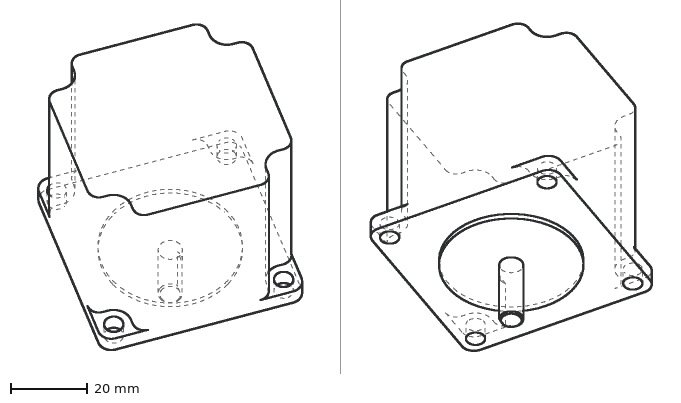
import cadquery as cq

width = 56.4
total_height = 74.6

flange_thickness = 4.85
flange_corner_radius = 3.6
hole_spacing = 47.15
hole_diameter = 5.1

relief_size = 9.4
relief_inner_radius = 4.85
relief_edge_radius = 3.1

pilot_diameter = 38.05
pilot_height = 1.6
shaft_diameter = 6.35
shaft_length = 20.6
shaft_chamfer = 0.45
flat_length = 15.0
flat_depth = 0.5

body_top = total_height - shaft_length
body_height = body_top - flange_thickness


def make_flange():
    """Square plate with rounded corners and four through holes."""
    plate = cq.Workplane("XY").rect(width, width).extrude(flange_thickness)
    plate = plate.edges("|Z").fillet(flange_corner_radius)
    return (
        plate.faces(">Z").workplane()
        .rect(hole_spacing, hole_spacing, forConstruction=True)
        .vertices().hole(hole_diameter)
    )


def make_body():
    """Cross-shaped block whose inner and outer vertical edges are rounded."""
    arm_width = width - 2 * relief_size
    base = cq.Workplane("XY").workplane(offset=flange_thickness)
    long_x = base.rect(width, arm_width).extrude(body_height)
    long_y = base.rect(arm_width, width).extrude(body_height)
    cross = long_x.union(long_y)

    reach = arm_width / 2 + relief_size / 2
    near_center = cq.selectors.BoxSelector((-reach, -reach, 0), (reach, reach, body_top))
    vertical = cq.selectors.ParallelDirSelector(cq.Vector(0, 0, 1))
    rounded = cross.edges(vertical - near_center).fillet(relief_edge_radius)
    return rounded.edges(vertical & near_center).fillet(relief_inner_radius)


def make_shaft():
    """Round shaft with a chamfered tip and a flat on its +Y side."""
    shaft = cq.Workplane("XY").circle(shaft_diameter / 2).extrude(-shaft_length)
    shaft = shaft.faces("<Z").chamfer(shaft_chamfer)
    flat_cutter = (
        cq.Workplane("XY").workplane(offset=-shaft_length)
        .center(0, shaft_diameter - flat_depth)
        .rect(shaft_diameter, shaft_diameter)
        .extrude(flat_length)
    )
    return shaft.cut(flat_cutter)


pilot = cq.Workplane("XY").circle(pilot_diameter / 2).extrude(-pilot_height)

result = make_flange().union(make_body()).union(pilot).union(make_shaft())